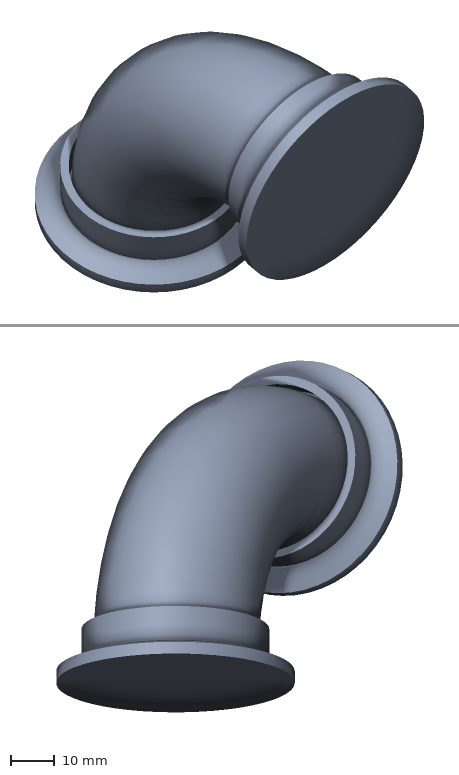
import cadquery as cq

flange_radius = 27.4
overall_length = 89.9
face_distance = overall_length - flange_radius

pipe_radius = 19.1
bend_radius = 57.1

rim_thickness = 2.8
collar_start = 4.7
flange_height = 12.8
collar_radius = 21.6
ledge_width = 0.3
socket_radius = 19.6
socket_floor = face_distance - bend_radius


def make_pipe():
    """Solid round quarter bend, seated on the socket floor of each flange."""
    end_section = cq.Workplane("XY", origin=(0, 0, socket_floor)).circle(pipe_radius)
    return end_section.revolve(90, (bend_radius, 0), (bend_radius, 1))


def make_flange(pipe):
    """Rim, cone and collar about Z, with a socket relieved where the bend touches its wall."""
    profile = [
        (0, 0),
        (flange_radius, 0),
        (flange_radius, rim_thickness),
        (collar_radius + ledge_width, collar_start),
        (collar_radius, collar_start),
        (collar_radius, flange_height),
        (socket_radius, flange_height),
        (socket_radius, socket_floor),
        (0, socket_floor),
    ]
    blank = cq.Workplane("XZ").polyline(profile).close().revolve(360, (0, 0), (0, 1))
    return blank.cut(pipe)


def turn_to_other_leg(flange):
    """Turn a flange half a turn about the diagonal symmetry line of the elbow."""
    return flange.rotate((0, 0, face_distance), (face_distance, 0, 0), 180)


pipe = make_pipe()
flanges = [make_flange(pipe)]
flanges.append(turn_to_other_leg(flanges[0]))

result = cq.Compound.makeCompound([pipe.val(), *[flange.val() for flange in flanges]])